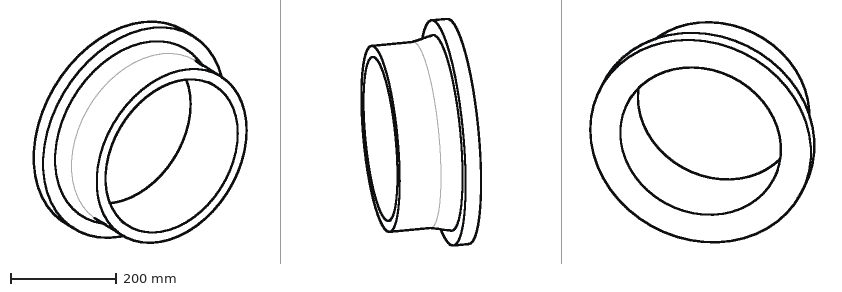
import cadquery as cq

flange_diameter = 430.0
flange_thickness = 30.0
total_length = 150.0
bore_diameter = 312.5
pipe_diameter = 355.0
hub_base_diameter = 373.2
hub_length = 40.0

flange_radius = flange_diameter / 2
bore_radius = bore_diameter / 2
pipe_radius = pipe_diameter / 2
hub_base_radius = hub_base_diameter / 2
hub_end = flange_thickness + hub_length

section = (
    cq.Workplane("XY")
    .moveTo(0, bore_radius)
    .lineTo(0, flange_radius)
    .lineTo(flange_thickness, flange_radius)
    .lineTo(flange_thickness, hub_base_radius)
    .lineTo(hub_end, pipe_radius)
    .lineTo(total_length, pipe_radius)
    .lineTo(total_length, bore_radius)
    .close()
)

result = section.revolve(360, (0, 0, 0), (1, 0, 0))